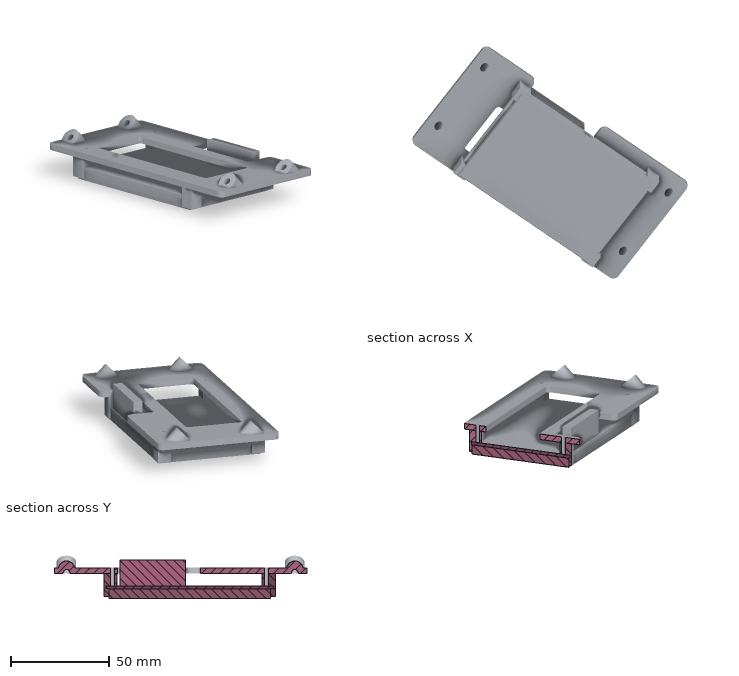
import cadquery as cq
import math


PLATE_LENGTH = 128.5
PLATE_WIDTH = 64.6
PLATE_THICKNESS = 3.2
PLATE_BOTTOM = 12.7
PLATE_TOP = PLATE_BOTTOM + PLATE_THICKNESS
PLATE_CORNER_RADIUS = 3.1

NOTCH_LENGTH = 41.9
NOTCH_DEPTH = 15.0
NOTCH_CENTER_X = 11.0
NOTCH_CORNER_RADIUS = 1.0

WINDOW_LENGTH = 80.0
WINDOW_WIDTH = 30.0
WINDOW_CENTER_Y = -5.0
WINDOW_CORNER_RADIUS = 2.0

OVERALL_HEIGHT = 21.8
BOSS_DIAMETER = 10.0
BOSS_HOLE_DIAMETER = 3.6
BOSS_TILT = 45.0
BOSS_SPACING_X = 115.9
BOSS_SPACING_Y = 39.5
BOSS_PEAK_CENTER_Y = 1.0

DISPLAY_CENTER = (-4.5, -0.8)
SCREEN_LENGTH = 82.2
SCREEN_WIDTH = 54.5
SCREEN_THICKNESS = 5.1
BOARD_LENGTH = 85.3
BOARD_WIDTH = 55.3
BOARD_THICKNESS = 1.7
BOARD_TOP = SCREEN_THICKNESS + BOARD_THICKNESS
CONNECTOR_LENGTH = 33.5
CONNECTOR_WIDTH = 4.9
CONNECTOR_CENTER = (14.1, 23.5)
CONNECTOR_TOP = 19.9

POST_SIZE = 7.0
POST_BOTTOM = 1.2
POST_OUTER_LENGTH = 87.4
POST_OUTER_WIDTH = 57.3
POST_SPACING_X = POST_OUTER_LENGTH - POST_SIZE
POST_SPACING_Y = POST_OUTER_WIDTH - POST_SIZE

SCREW_HOLE_DIAMETER = 1.8
SCREW_SPACING_X = 78.1
SCREW_SPACING_Y = 47.8


def block(length, width, bottom, top, center):
    """A plain block between two heights, centred on an (x, y) point."""
    return (
        cq.Workplane("XY", origin=(*center, bottom))
        .rect(length, width)
        .extrude(top - bottom)
    )


def corner_points(spacing_x, spacing_y, center):
    """The four corners of a rectangle centred on an (x, y) point."""
    return [
        (center[0] + side_x * spacing_x / 2, center[1] + side_y * spacing_y / 2)
        for side_x in (-1, 1)
        for side_y in (-1, 1)
    ]


def make_screw_holes():
    points = corner_points(SCREW_SPACING_X, SCREW_SPACING_Y, DISPLAY_CENTER)
    return (
        cq.Workplane("XY", origin=(0, 0, BOARD_TOP))
        .pushPoints(points)
        .circle(SCREW_HOLE_DIAMETER / 2)
        .extrude(PLATE_TOP - BOARD_TOP)
    )


def tilted_cylinder(peak_x, peak_y, diameter):
    """A cylinder along a boss axis, running from the boss face down past the plate."""
    tilt = math.radians(BOSS_TILT)
    boss_radius = BOSS_DIAMETER / 2
    face_center = (
        peak_x,
        peak_y - boss_radius * math.cos(tilt),
        OVERALL_HEIGHT - boss_radius * math.sin(tilt),
    )
    into_plate = (0, math.sin(tilt), -math.cos(tilt))
    face = cq.Plane(origin=face_center, xDir=(1, 0, 0), normal=into_plate)
    return cq.Workplane(face).circle(diameter / 2).extrude(OVERALL_HEIGHT)


def make_plate_outline():
    """The plate with rounded corners and the notch cut into its +Y edge."""
    plate = block(PLATE_LENGTH, PLATE_WIDTH, PLATE_BOTTOM, PLATE_TOP, (0, 0))
    notch_center = (NOTCH_CENTER_X, PLATE_WIDTH / 2)
    notch = block(NOTCH_LENGTH, 2 * NOTCH_DEPTH, PLATE_BOTTOM, PLATE_TOP, notch_center)
    notch = notch.edges("|Z and <Y").fillet(NOTCH_CORNER_RADIUS)
    plate = plate.cut(notch)
    outer_corners = plate.edges("(|Z and >Y) or (|Z and <Y)")
    return outer_corners.fillet(PLATE_CORNER_RADIUS)


def make_plate(screw_holes):
    plate = make_plate_outline()
    window = block(WINDOW_LENGTH, WINDOW_WIDTH, PLATE_BOTTOM, PLATE_TOP, (0, WINDOW_CENTER_Y))
    plate = plate.cut(window.edges("|Z").fillet(WINDOW_CORNER_RADIUS))

    above_plate = block(PLATE_LENGTH, PLATE_WIDTH, PLATE_TOP, OVERALL_HEIGHT, (0, 0))
    boss_peaks = corner_points(BOSS_SPACING_X, BOSS_SPACING_Y, (0, BOSS_PEAK_CENTER_Y))
    for peak_x, peak_y in boss_peaks:
        boss = tilted_cylinder(peak_x, peak_y, BOSS_DIAMETER)
        plate = plate.union(boss.intersect(above_plate))
    for peak_x, peak_y in boss_peaks:
        plate = plate.cut(tilted_cylinder(peak_x, peak_y, BOSS_HOLE_DIAMETER))
    return plate.cut(screw_holes)


def make_screen():
    return block(SCREEN_LENGTH, SCREEN_WIDTH, 0, SCREEN_THICKNESS, DISPLAY_CENTER)


def make_board():
    return block(BOARD_LENGTH, BOARD_WIDTH, SCREEN_THICKNESS, BOARD_TOP, DISPLAY_CENTER)


def make_connector():
    return block(CONNECTOR_LENGTH, CONNECTOR_WIDTH, BOARD_TOP, CONNECTOR_TOP, CONNECTOR_CENTER)


def make_post(center, screen, board, screw_holes):
    """A corner post, recessed to fit around the corner of the screen and the board."""
    post = block(POST_SIZE, POST_SIZE, POST_BOTTOM, PLATE_BOTTOM, center)
    return post.cut(screen).cut(board).cut(screw_holes)


screw_holes = make_screw_holes()
plate = make_plate(screw_holes)
screen = make_screen()
board = make_board()
connector = make_connector()
posts = [
    make_post(center, screen, board, screw_holes)
    for center in corner_points(POST_SPACING_X, POST_SPACING_Y, DISPLAY_CENTER)
]

bodies = [plate, screen, board, connector, *posts]
result = cq.Compound.makeCompound([body.solids().val() for body in bodies])